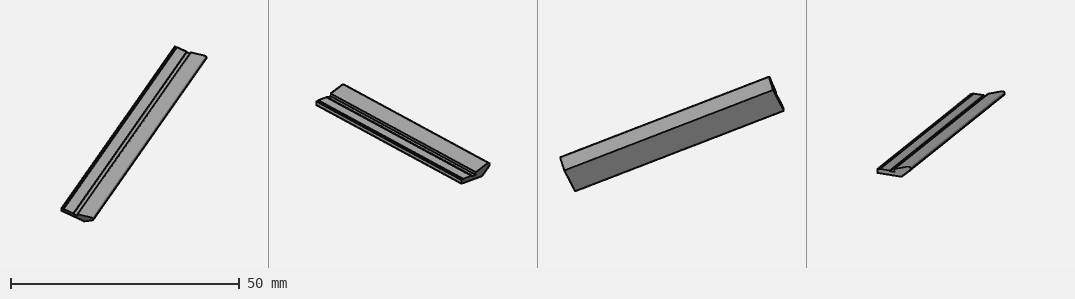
import cadquery as cq
import math

length = 50.0
width = 8.0
height = 2.7

ledge_height = 0.9
strip_start = 0.5
strip_end = 3.0
strip_height = 0.15

lip_start = 4.05
lip_start_height = 1.55
base_width = 5.8
nose_radius = 0.5
nose_x = width - nose_radius
nose_z = height - nose_radius


def nose_tangent_point(x, z, side):
    """Point where a line from (x, z) touches the nose; side is 1 above, -1 below."""
    distance = math.hypot(nose_x - x, nose_z - z)
    line_angle = math.atan2(nose_z - z, nose_x - x) + side * math.asin(nose_radius / distance)
    radius_angle = line_angle + side * math.pi / 2
    return (
        nose_x + nose_radius * math.cos(radius_angle),
        nose_z + nose_radius * math.sin(radius_angle),
    )


body_profile = (
    cq.Workplane("XZ")
    .moveTo(0, 0)
    .lineTo(base_width, 0)
    .lineTo(*nose_tangent_point(base_width, 0, -1))
    .threePointArc(
        (width, nose_z),
        nose_tangent_point(lip_start, lip_start_height, 1),
    )
    .lineTo(lip_start, lip_start_height)
    .lineTo(lip_start, ledge_height)
    .lineTo(0, ledge_height)
    .close()
)
body = body_profile.extrude(length / 2, both=True)

strip = cq.Workplane("XY").box(
    strip_end - strip_start, length, strip_height, centered=(False, True, False)
).translate((strip_start, 0, ledge_height))

result = body.union(strip)